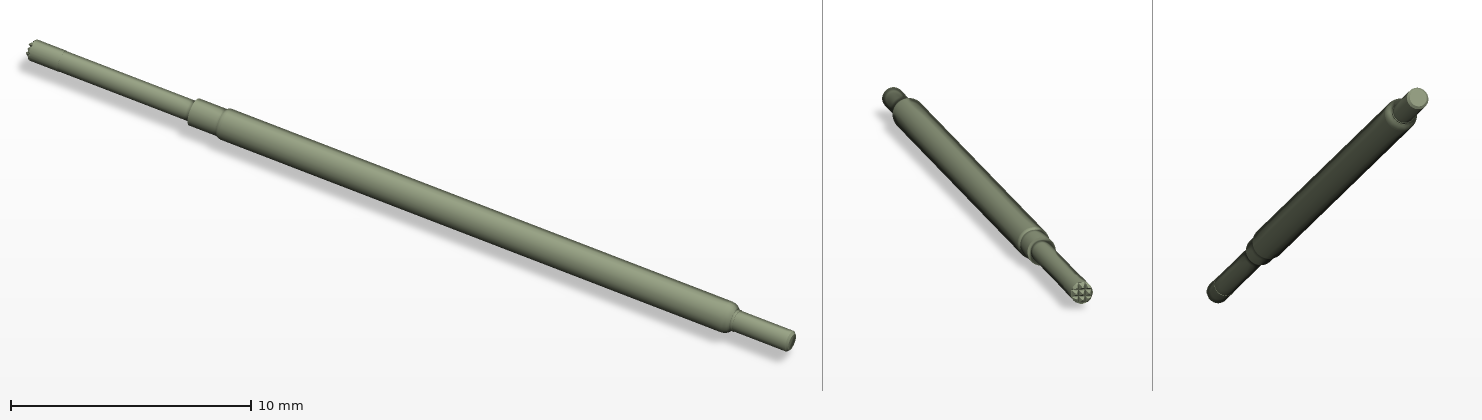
import cadquery as cq

TOTAL_LENGTH = 35.81

HEAD_DIAMETER = 0.94
SHAFT_DIAMETER = 0.91
COLLAR_DIAMETER = 1.21
BARREL_DIAMETER = 1.37
TAIL_LIP_DIAMETER = 0.96
TAIL_DIAMETER = 0.92

HEAD_END = 1.62
COLLAR_START = 7.79
BARREL_START = 9.12
BARREL_END = 33.12
TAIL_LIP_END = 33.24

FRONT_ROLL_LENGTH = 0.19
FRONT_ROLL_DIAMETER = 1.23
REAR_ROLL_LENGTH = 0.39
REAR_ROLL_DIAMETER = 1.0

TIP_CHAMFER = 0.25
TAIL_CHAMFER = 0.1

GROOVE_PITCH = 0.28
GROOVE_DEPTH = 0.31
GROOVES_PER_DIRECTION = 4


def rod(start, end, diameter):
    """Round bar along X between two positions."""
    return cq.Workplane("YZ").workplane(offset=start).circle(diameter / 2).extrude(end - start)


def tip_groove(offset):
    """V groove across the tip, running along Z and centred at the given Y."""
    half_width = GROOVE_PITCH / 2
    return (
        cq.Workplane("XY")
        .polyline([(0, offset - half_width), (GROOVE_DEPTH, offset), (0, offset + half_width)])
        .close()
        .extrude(HEAD_DIAMETER, both=True)
    )


def head():
    """Bevelled head with V grooves cut along Z and again along Y."""
    body = rod(0, HEAD_END, HEAD_DIAMETER).faces("<X").chamfer(TIP_CHAMFER)
    first_offset = -GROOVE_PITCH * (GROOVES_PER_DIRECTION - 1) / 2
    for index in range(GROOVES_PER_DIRECTION):
        groove = tip_groove(first_offset + index * GROOVE_PITCH)
        body = body.cut(groove)
        body = body.cut(groove.rotate((0, 0, 0), (1, 0, 0), 90))
    return body


def roll_middle(tangent_x, direction, length, end_diameter):
    """Middle point of a rim arc that leaves the barrel wall tangentially at tangent_x."""
    wall_radius = BARREL_DIAMETER / 2
    drop = wall_radius - end_diameter / 2
    arc_radius = (length**2 + drop**2) / (2 * drop)
    half_length = length / 2
    half_drop = arc_radius - (arc_radius**2 - half_length**2) ** 0.5
    return (tangent_x + direction * half_length, wall_radius - half_drop)


def barrel():
    """Main tube with both rims rolled inwards."""
    wall_radius = BARREL_DIAMETER / 2
    wall_start = BARREL_START + FRONT_ROLL_LENGTH
    wall_end = BARREL_END - REAR_ROLL_LENGTH
    front_middle = roll_middle(wall_start, -1, FRONT_ROLL_LENGTH, FRONT_ROLL_DIAMETER)
    rear_middle = roll_middle(wall_end, 1, REAR_ROLL_LENGTH, REAR_ROLL_DIAMETER)
    profile = (
        cq.Workplane("XY")
        .moveTo(BARREL_START, 0)
        .lineTo(BARREL_START, FRONT_ROLL_DIAMETER / 2)
        .threePointArc(front_middle, (wall_start, wall_radius))
        .lineTo(wall_end, wall_radius)
        .threePointArc(rear_middle, (BARREL_END, REAR_ROLL_DIAMETER / 2))
        .lineTo(BARREL_END, 0)
        .close()
    )
    return profile.revolve(360, (0, 0, 0), (1, 0, 0))


def tail():
    """Terminal pin with a short lip at the barrel and a bevelled free end."""
    pin = rod(BARREL_END, TOTAL_LENGTH, TAIL_DIAMETER).faces(">X").chamfer(TAIL_CHAMFER)
    return pin.union(rod(BARREL_END, TAIL_LIP_END, TAIL_LIP_DIAMETER))


shaft = rod(HEAD_END, COLLAR_START, SHAFT_DIAMETER)
collar = rod(COLLAR_START, BARREL_START, COLLAR_DIAMETER)

result = head().union(shaft).union(collar).union(barrel()).union(tail())